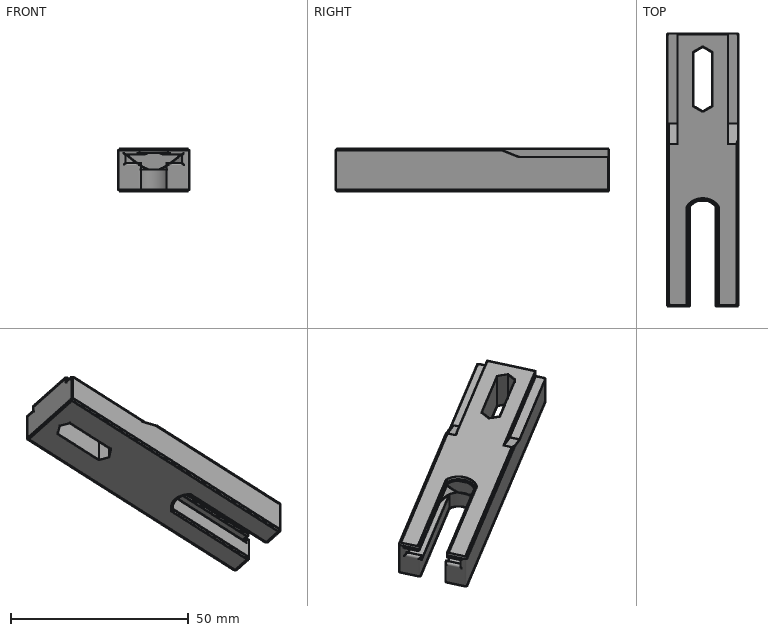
import cadquery as cq
import math

WIDTH = 20.0
LENGTH = 76.95
HEIGHT = 12.0
FRONT = -LENGTH / 2
BACK = LENGTH / 2

EDGE_CHAMFER = 0.55
BACK_CHAMFER = 0.3
FRONT_FILLET = 0.6

SLOT_CENTRE_Y = -13.2
SLOT_RADIUS = 4.8
LOWER_SLOT_WIDTH = 7.2
UPPER_SLOT_WIDTH = 8.0

CAVITY_WIDTH = 16.0
CAVITY_FLOOR = 6.15
CAVITY_ROOF = 10.3
CAVITY_END_Y = SLOT_CENTRE_Y + 4.55
ROOF_BEVEL_TOP = CAVITY_ROOF + EDGE_CHAMFER
SEAT_RISE = CAVITY_ROOF - CAVITY_FLOOR
FLARE_START_Y = SLOT_CENTRE_Y + 1.2
FLARE_ANGLE = 22.0

LIP_TOP = 7.9
LIP_THICKNESS = 1.2

RIDGE_WIDTH = 14.15
LEDGE_Z = 9.7
RAMP_TOP_Y = 7.3
RAMP_FOOT_Y = 13.1

HEX_FLATS = 5.3
HEX_FRONT_Y = 19.55
HEX_BACK_Y = 31.6


def box_between(x_range, y_range, z_range):
    size = [high - low for low, high in (x_range, y_range, z_range)]
    corner = (x_range[0], y_range[0], z_range[0])
    return cq.Workplane("XY").box(*size, centered=False).translate(corner)


def slot_outline(width, radius, z):
    """Closed slot outline: straight sides from the front, shallow arc at the inner end."""
    half = width / 2
    shoulder_y = SLOT_CENTRE_Y + math.sqrt(radius**2 - half**2)
    return (
        cq.Workplane("XY", origin=(0, 0, z))
        .moveTo(-half, FRONT)
        .lineTo(-half, shoulder_y)
        .threePointArc((0, SLOT_CENTRE_Y + radius), (half, shoulder_y))
        .lineTo(half, FRONT)
        .close()
    )


def slot(width, bottom, top):
    return slot_outline(width, SLOT_RADIUS, bottom).extrude(top - bottom)


def slot_bevel(width, z, rise):
    """45 degree bevel round a slot edge, widest at height z and closing over the given rise."""
    wide = slot_outline(width + 2 * EDGE_CHAMFER, SLOT_RADIUS + EDGE_CHAMFER, z)
    narrow = slot_outline(width, SLOT_RADIUS, z + rise)
    return cq.Workplane(cq.Solid.makeLoft([wide.val(), narrow.val()], True))


def before_end_wall(cutter):
    """The stretch of a cutter that lies in front of the cavity's end wall."""
    across = (-WIDTH / 2, WIDTH / 2)
    return cutter.intersect(box_between(across, (FRONT, CAVITY_END_Y), (0, HEIGHT)))


def seat_section(workplane, floor_half):
    """Cross-section of the seat: flat floor with walls leaning out at 45 degrees."""
    roof_half = floor_half + SEAT_RISE
    return workplane.polyline(
        [
            (-floor_half, CAVITY_FLOOR),
            (floor_half, CAVITY_FLOOR),
            (roof_half, CAVITY_ROOF),
            (-roof_half, CAVITY_ROOF),
        ]
    ).close()


def head_cavity():
    cone = cq.Workplane(
        cq.Solid.makeCone(
            SLOT_RADIUS,
            SLOT_RADIUS + SEAT_RISE,
            SEAT_RISE,
            pnt=cq.Vector(0, SLOT_CENTRE_Y, CAVITY_FLOOR),
        )
    )

    half = CAVITY_WIDTH / 2
    start_half = math.sqrt(SLOT_RADIUS**2 - (FLARE_START_Y - SLOT_CENTRE_Y) ** 2)
    flare_length = (half - start_half) / math.tan(math.radians(FLARE_ANGLE))
    flare = seat_section(cq.Workplane("XZ", origin=(0, FLARE_START_Y, 0)), start_half)
    flare = seat_section(flare.workplane(offset=flare_length), half).loft(ruled=True)

    sides = (-half, half)
    heights = (CAVITY_FLOOR, CAVITY_ROOF)
    channel = box_between(sides, (FRONT, FLARE_START_Y - flare_length), heights)
    envelope = box_between(sides, (FRONT, CAVITY_END_Y), heights)
    lip = box_between(sides, (FRONT, FRONT + LIP_THICKNESS), (CAVITY_FLOOR, LIP_TOP))
    lip = lip.cut(slot(LOWER_SLOT_WIDTH, CAVITY_FLOOR, LIP_TOP))
    return cone.union(flare).union(channel).intersect(envelope).cut(lip)


def side_ledge():
    """Cutter for the +X ledge and its ramp."""
    profile = [
        (RAMP_TOP_Y, HEIGHT),
        (RAMP_FOOT_Y, LEDGE_Z),
        (BACK, LEDGE_Z),
        (BACK, HEIGHT),
    ]
    ledge_width = (WIDTH - RIDGE_WIDTH) / 2
    return (
        cq.Workplane("YZ", origin=(RIDGE_WIDTH / 2, 0, 0))
        .polyline(profile)
        .close()
        .extrude(ledge_width)
    )


def ramp_bevel():
    """Bevel carrying the top edge chamfer down the outer edge of the -X ramp."""
    side = -WIDTH / 2
    section = cq.Wire.makePolygon(
        [
            cq.Vector(side, RAMP_TOP_Y, HEIGHT),
            cq.Vector(side, RAMP_TOP_Y, HEIGHT - EDGE_CHAMFER),
            cq.Vector(side + EDGE_CHAMFER, RAMP_TOP_Y, HEIGHT),
        ],
        close=True,
    )
    down_ramp = cq.Vector(0, RAMP_FOOT_Y - RAMP_TOP_Y, LEDGE_Z - HEIGHT)
    bevel = cq.Workplane(cq.Solid.extrudeLinear(section, [], down_ramp))
    return bevel.intersect(box_between((side, 0), (FRONT, BACK), (LEDGE_Z, HEIGHT)))


def hex_slot():
    half = HEX_FLATS / 2
    corner_radius = HEX_FLATS / math.sqrt(3)
    shoulder = corner_radius / 2
    return (
        cq.Workplane("XY")
        .polyline(
            [
                (0, HEX_FRONT_Y - corner_radius),
                (half, HEX_FRONT_Y - shoulder),
                (half, HEX_BACK_Y + shoulder),
                (0, HEX_BACK_Y + corner_radius),
                (-half, HEX_BACK_Y + shoulder),
                (-half, HEX_FRONT_Y - shoulder),
            ]
        )
        .close()
        .extrude(HEIGHT)
    )


body = box_between((-WIDTH / 2, WIDTH / 2), (FRONT, BACK), (0, HEIGHT))
body = body.cut(slot(LOWER_SLOT_WIDTH, 0, CAVITY_FLOOR))
body = body.cut(slot(UPPER_SLOT_WIDTH, ROOF_BEVEL_TOP, HEIGHT))
body = body.cut(before_end_wall(slot(UPPER_SLOT_WIDTH, CAVITY_ROOF, ROOF_BEVEL_TOP)))
body = body.cut(head_cavity())

front_rims = body.faces("<Y").edges().edges("not(<Z or >Z)")
body = front_rims.fillet(FRONT_FILLET)

for end_face in (">Z", "<Z"):
    body = body.faces(end_face).edges("<X or >X or <Y").chamfer(EDGE_CHAMFER)
body = body.faces(">Y").edges().chamfer(BACK_CHAMFER)

body = body.cut(slot_bevel(UPPER_SLOT_WIDTH, HEIGHT, -EDGE_CHAMFER))
body = body.cut(slot_bevel(LOWER_SLOT_WIDTH, 0, EDGE_CHAMFER))
body = body.cut(before_end_wall(slot_bevel(UPPER_SLOT_WIDTH, CAVITY_ROOF, EDGE_CHAMFER)))

ledge = side_ledge()
body = body.cut(ledge).cut(ledge.mirror("YZ")).cut(ramp_bevel())
result = body.cut(hex_slot())